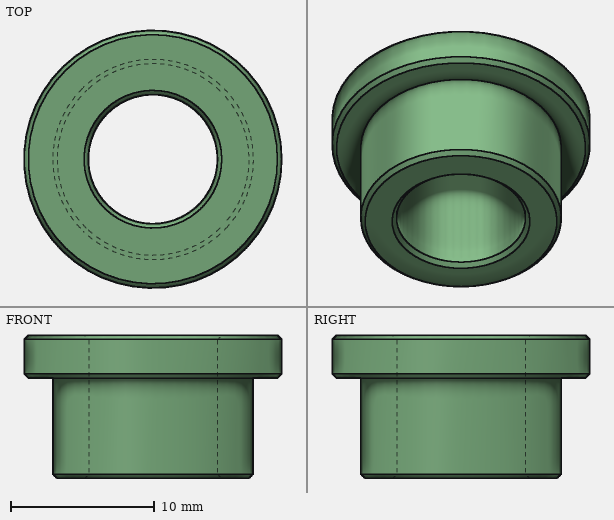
import cadquery as cq

flange_diameter = 18.0
body_diameter = 14.0
bore_diameter = 9.0
total_height = 10.0
flange_thickness = 3.0
edge_chamfer = 0.3

body_height = total_height - flange_thickness

body = (
    cq.Workplane("XY")
    .circle(body_diameter / 2)
    .extrude(body_height)
    .faces("<Z")
    .chamfer(edge_chamfer)
)

flange = (
    cq.Workplane("XY")
    .workplane(offset=body_height)
    .circle(flange_diameter / 2)
    .extrude(flange_thickness)
    .edges()
    .chamfer(edge_chamfer)
)

bore = cq.Workplane("XY").circle(bore_diameter / 2).extrude(total_height)
bushing = body.union(flange).cut(bore)
bore_mouths = cq.selectors.RadiusNthSelector(0)
result = bushing.faces("<Z or >Z").edges(bore_mouths).chamfer(edge_chamfer)